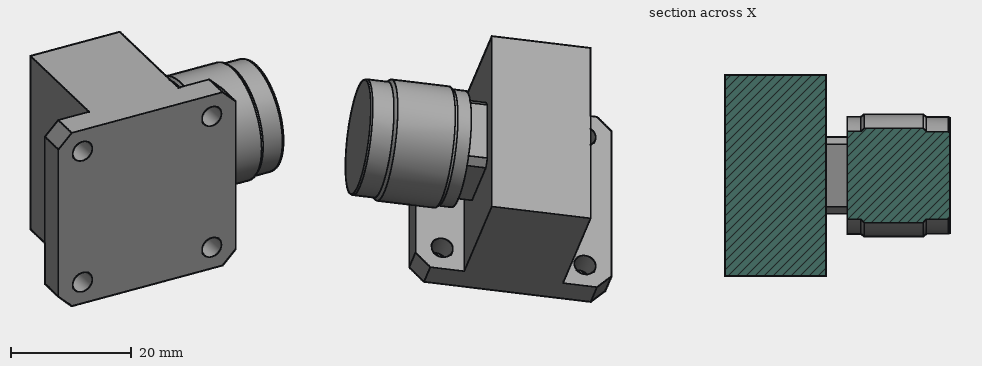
import cadquery as cq

total_length = 45.65
flange_size = 33.35
flange_thickness = 4.75
flange_corner = 2.5
flange_back_x = 15.8

hole_diameter = 3.65
hole_spacing_y = 24.3
hole_spacing_z = 25.2

block_depth_y = 16.8
block_front_x = -9.7

neck_size = 12.8
neck_chamfer = 1.2

front_diameter = 19.4
grip_diameter = 20.3
rear_diameter = 19.5
nut_length = 17.07
front_length = 3.93
grip_end = 14.8
shoulder_length = 0.55
rim_length = 0.3
rim_depth = 0.15

flange_front_x = flange_back_x - flange_thickness
block_end_y = block_depth_y / 2
nut_end_y = total_length - flange_size / 2
nut_start_y = nut_end_y - nut_length


def make_flange():
    """Square plate with bevelled corners and four through holes."""
    plate = (
        cq.Workplane("YZ", origin=(flange_front_x, 0, 0))
        .rect(flange_size, flange_size)
        .extrude(flange_thickness)
        .edges("|X")
        .chamfer(flange_corner)
    )
    return (
        plate.faces("<X")
        .workplane(origin=(flange_front_x, 0, 0))
        .rect(hole_spacing_y, hole_spacing_z, forConstruction=True)
        .vertices()
        .hole(hole_diameter)
    )


def make_block():
    """Housing block standing on the flange over its full height."""
    return (
        cq.Workplane("YZ", origin=(block_front_x, 0, 0))
        .rect(block_depth_y, flange_size)
        .extrude(flange_front_x - block_front_x)
    )


def make_neck():
    """Square neck with bevelled edges, reaching the rear of the nut."""
    return (
        cq.Workplane("XZ", origin=(0, block_end_y, 0))
        .rect(neck_size, neck_size)
        .extrude(block_end_y - nut_start_y)
        .edges("|Y")
        .chamfer(neck_chamfer)
    )


def make_nut():
    """Coupling nut revolved about the Y axis, with a raised grip band."""
    front_radius = front_diameter / 2
    grip_radius = grip_diameter / 2
    rear_radius = rear_diameter / 2
    shoulder_y = nut_end_y - front_length
    grip_end_y = nut_end_y - grip_end
    profile = [
        (0, nut_start_y),
        (rear_radius, nut_start_y),
        (rear_radius, grip_end_y),
        (grip_radius, grip_end_y + shoulder_length),
        (grip_radius, shoulder_y - shoulder_length),
        (front_radius, shoulder_y),
        (front_radius, nut_end_y - rim_length),
        (front_radius - rim_depth, nut_end_y),
        (0, nut_end_y),
    ]
    return cq.Workplane("XY").polyline(profile).close().revolve(360, (0, 0, 0), (0, 1, 0))


result = make_flange().union(make_block()).union(make_neck()).union(make_nut())